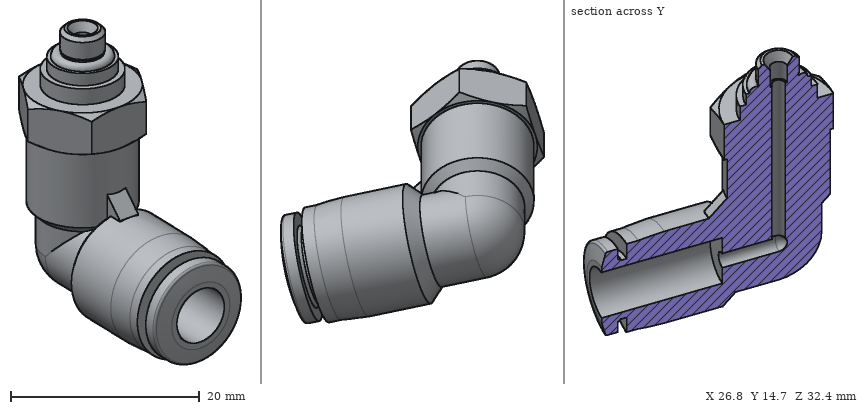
import cadquery as cq
import math


elbow_diameter = 10.0
stem_body_diameter = 12.0
stem_body_bottom = 5.02
hex_bottom = 14.05
hex_top = 19.08
hex_across_corners = 14.65
hex_across_flats = hex_across_corners * math.cos(math.pi / 6)
hex_chamfer_angle = math.radians(30)
collar_diameter = 9.0
collar_top = 21.0
step_diameter = 7.6
step_top = 22.5
ring_outer_diameter = 6.8
ring_section_radius = 0.68
thread_diameter = 4.83
thread_neck_diameter = 4.63
thread_bottom = 23.4
thread_neck_height = 0.15
thread_tip_diameter = 3.9
thread_chamfer_height = 0.45

port_diameter = 13.0
port_cone_start = 5.0
port_taper_start = 13.3
port_rim_diameter = 12.5
port_rim_start = 16.3
port_rim_end = 17.63
release_neck_diameter = 8.35
release_cone_start = 18.25
release_flange_start = 18.63
release_cone_diameter = 8.95
release_flange_diameter = 11.8
release_flange_end = 19.83
release_edge_round = 0.25
release_end = 20.5
release_face_diameter = 7.78
release_bulge = 0.03

overall_height = 32.4
stem_top = overall_height - port_diameter / 2

web_width = 2.45
web_end = 8.1

mouth_diameter = 3.25
mouth_depth = 1.05
upper_bore_diameter = 1.95
bore_diameter = 1.5
passage_diameter = 1.95
tube_diameter = 6.35
tube_stop = 6.55


def disc(diameter, start, end):
    """Vertical cylinder between two heights."""
    return cq.Workplane("XY").workplane(offset=start).circle(diameter / 2).extrude(end - start)


def cone(start_diameter, end_diameter, start, end):
    """Vertical cone frustum between two heights."""
    profile = [(0, start), (start_diameter / 2, start), (end_diameter / 2, end), (0, end)]
    return cq.Workplane("XZ").polyline(profile).close().revolve(360, (0, 0), (0, 1))


def rod(diameter, start, end):
    """Cylinder along X between two stations."""
    return cq.Workplane("YZ").workplane(offset=start).circle(diameter / 2).extrude(end - start)


def elbow():
    """Round corner with one leg up and one leg along X."""
    corner = cq.Workplane("XY").sphere(elbow_diameter / 2)
    upright = disc(elbow_diameter, 0, stem_body_bottom)
    return corner.union(upright).union(rod(elbow_diameter, 0, port_cone_start))


def stem_body():
    """Cylinder below the hexagon with a 45 degree lower edge."""
    cone_height = (stem_body_diameter - elbow_diameter) / 2
    shoulder = cone(elbow_diameter, stem_body_diameter, stem_body_bottom - cone_height, stem_body_bottom)
    return shoulder.union(disc(stem_body_diameter, stem_body_bottom, hex_bottom))


def hexagon():
    """Hexagon with corners on the Y axis, its corners chamfered at both ends."""
    height = hex_top - hex_bottom
    flat_radius = hex_across_flats / 2
    corner_radius = hex_across_corners / 2
    drop = (corner_radius - flat_radius) * math.tan(hex_chamfer_angle)
    prism = cq.Workplane("XY").workplane(offset=hex_bottom).polygon(6, hex_across_corners).extrude(height)
    prism = prism.rotate((0, 0, 0), (0, 0, 1), 90)
    profile = [
        (0, hex_bottom),
        (flat_radius, hex_bottom),
        (corner_radius, hex_bottom + drop),
        (corner_radius, hex_top - drop),
        (flat_radius, hex_top),
        (0, hex_top),
    ]
    envelope = cq.Workplane("XZ").polyline(profile).close().revolve(360, (0, 0), (0, 1))
    return prism.intersect(envelope)


def stem_tip():
    """Stepped collar, sealing ring and thread."""
    chamfer_start = stem_top - thread_chamfer_height
    neck_top = thread_bottom - thread_neck_height
    tip = disc(collar_diameter, hex_top, collar_top)
    tip = tip.union(disc(step_diameter, collar_top, step_top))
    tip = tip.union(disc(thread_neck_diameter, step_top, neck_top))
    tip = tip.union(cone(thread_neck_diameter, thread_diameter, neck_top, thread_bottom))
    tip = tip.union(disc(thread_diameter, thread_bottom, chamfer_start))
    tip = tip.union(cone(thread_diameter, thread_tip_diameter, chamfer_start, stem_top))
    ring_centre = ring_outer_diameter / 2 - ring_section_radius
    ring = cq.Workplane("XZ").center(ring_centre, step_top).circle(ring_section_radius)
    return tip.union(ring.revolve(360, (-ring_centre, 0), (-ring_centre, 1)))


def tube_port():
    """Port sleeve and flanged release sleeve, turned about the X axis."""
    cone_length = (port_diameter - elbow_diameter) / 2
    dome_start = release_flange_end + release_edge_round
    dome_edge_radius = release_flange_diameter / 2 - release_edge_round
    dome_radius = (dome_edge_radius + release_face_diameter / 2) / 2
    dome_station = (dome_start + release_end) / 2 + release_bulge
    return (
        cq.Workplane("XY")
        .moveTo(port_cone_start, 0)
        .lineTo(port_cone_start, elbow_diameter / 2)
        .lineTo(port_cone_start + cone_length, port_diameter / 2)
        .lineTo(port_taper_start, port_diameter / 2)
        .tangentArcPoint((port_rim_start, port_rim_diameter / 2), relative=False)
        .lineTo(port_rim_end, port_rim_diameter / 2)
        .lineTo(port_rim_end, release_neck_diameter / 2)
        .lineTo(release_cone_start, release_neck_diameter / 2)
        .lineTo(release_flange_start, release_cone_diameter / 2)
        .lineTo(release_flange_start, release_flange_diameter / 2)
        .lineTo(release_flange_end, release_flange_diameter / 2)
        .tangentArcPoint((dome_start, dome_edge_radius), relative=False)
        .threePointArc((dome_station, dome_radius), (release_end, release_face_diameter / 2))
        .lineTo(release_end, 0)
        .close()
        .revolve(360, (0, 0), (1, 0))
    )


def web():
    """Triangular web joining the stem body to the port sleeve."""
    port_top = port_diameter / 2
    profile = [(0, 0), (web_end, 0), (web_end, port_top), (0, port_top + web_end)]
    return cq.Workplane("XZ").polyline(profile).close().extrude(web_width / 2, both=True)


def passage():
    """Stepped stem bore with a conical mouth, turning into the tube socket."""
    mouth_floor = stem_top - mouth_depth
    flow = cone(upper_bore_diameter, mouth_diameter, mouth_floor, stem_top)
    flow = flow.union(disc(upper_bore_diameter, step_top, mouth_floor))
    flow = flow.union(disc(bore_diameter, 0, step_top))
    flow = flow.union(cq.Workplane("XY").sphere(passage_diameter / 2))
    flow = flow.union(rod(passage_diameter, 0, tube_stop))
    return flow.union(rod(tube_diameter, tube_stop, release_end))


outside = elbow().union(stem_body()).union(hexagon()).union(stem_tip()).union(tube_port()).union(web())
result = outside.cut(passage())